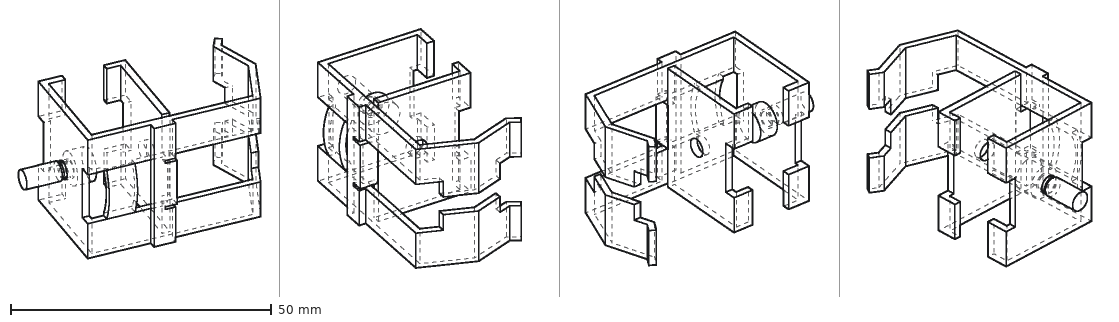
import cadquery as cq
import math

height = 27.0
sheet = 1.47
half_width = 11.55
wall_inner = half_width - sheet
window_half = 5.55
notch_floor = 9.1
over = 0.5

peak_y = 40.65
wall_end_y = 36.5
dip_x = 8.95
tip_angle = 30.0
tip_length = 2.2
arm_gap_half = 2.0
arm_step_left = 6.15
arm_step_right = 6.5

front_lip_y = 5.0
front_lip_sheet = 1.6
head_radius = 3.5
head_height = 4.05
shank_radius = 2.0
neck_radius = 1.5
clearance_radius = 1.9
neck_length = 0.45
shank_start = 1.05
shank_end = 8.5

divider_left = 11.65
divider_back = 18.4
divider_front = 16.75
divider_lip_sheet = 1.45
divider_lip_y = 13.85
tongue_half = 4.95
tongue_back = 18.2
anchor_front = 13.3
anchor_back = 17.85
anchor_relief_y = 15.75

strap_front = 4.05
strap_back = 10.0
strap_rise = 1.2


def block(x0, x1, y0, y1, half_z):
    """Box between X and Y limits, centred on Z = 0."""
    return cq.Workplane("XY").box(x1 - x0, y1 - y0, 2 * half_z).translate(
        ((x0 + x1) / 2, (y0 + y1) / 2, 0)
    )


def plate(points):
    """Full-height extrusion of a closed XY outline."""
    return cq.Workplane("XY").polyline(points).close().extrude(height / 2, both=True)


def cylinder(radius, y0, y1):
    """Round tool on the screw axis from y0 to y1."""
    return cq.Workplane("XZ", origin=(0, y0, 0)).circle(radius).extrude(y0 - y1)


def make_clamp():
    slope = (peak_y - wall_end_y) / half_width
    roof_angle = math.atan(slope)
    inner_peak_y = peak_y - sheet / math.cos(roof_angle)
    tip = math.radians(tip_angle)
    bisector = (tip - roof_angle) / 2
    bend_half = (tip + roof_angle) / 2
    miter = sheet / math.cos(bend_half)
    dip_outer = (-dip_x, peak_y - slope * dip_x)
    dip_inner = (dip_outer[0] - miter * math.sin(bisector), dip_outer[1] - miter * math.cos(bisector))
    tip_outer = (
        dip_outer[0] - tip_length * math.cos(tip),
        dip_outer[1] + tip_length * math.sin(tip),
    )
    tip_inner = (tip_outer[0] - sheet * math.sin(tip), tip_outer[1] - sheet * math.cos(tip))
    lip_inner = -half_width + front_lip_sheet
    body = plate([
        (-half_width, 0),
        (half_width, 0),
        (half_width, wall_end_y),
        (0, peak_y),
        dip_outer,
        tip_outer,
        tip_inner,
        dip_inner,
        (0, inner_peak_y),
        (wall_inner, inner_peak_y - slope * wall_inner),
        (wall_inner, sheet),
        (lip_inner, sheet),
        (lip_inner, front_lip_y),
        (-half_width, front_lip_y),
    ])
    body = body.cut(cylinder(clearance_radius, -over, sheet + over))
    far_x = half_width + over
    far_y = peak_y + over
    divider_y = (divider_front + divider_back) / 2
    body = body.cut(block(notch_floor, far_x, -over, far_y, window_half))
    body = body.cut(block(-far_x, -notch_floor, -over, front_lip_y + over, window_half))
    body = body.cut(block(-far_x, far_x, divider_y, far_y, arm_gap_half))
    for x0, x1 in ((-far_x, -arm_step_left), (arm_step_right, far_x)):
        body = body.cut(block(x0, x1, divider_y, far_y, window_half))
    return body


def make_divider():
    lip_inner = -divider_left + divider_lip_sheet
    body = plate([
        (-divider_left, divider_back),
        (-divider_left, divider_lip_y),
        (lip_inner, divider_lip_y),
        (lip_inner, divider_front),
        (notch_floor, divider_front),
        (notch_floor, divider_back),
    ])
    notch_x = -divider_left - over
    body = body.cut(block(notch_x, -notch_floor, divider_lip_y - over, divider_back + over, window_half))
    body = body.cut(cylinder(clearance_radius, divider_front - over, divider_back + over))

    anchor_x = half_width + sheet
    anchor = block(half_width, anchor_x, anchor_front, anchor_back, height / 2)
    anchor = anchor.cut(block(half_width, anchor_x, anchor_relief_y, anchor_back, window_half))
    fold = block(half_width, anchor_x, anchor_front, tongue_back, tongue_half)
    tongue = block(notch_floor, anchor_x, divider_front, tongue_back, tongue_half)
    return body.union(anchor).union(fold).union(tongue)


def make_strap():
    return (
        cq.Workplane("XZ", origin=(0, strap_back, 0))
        .moveTo(half_width, -window_half)
        .threePointArc((half_width + strap_rise, 0), (half_width, window_half))
        .lineTo(wall_inner, window_half)
        .lineTo(wall_inner, tongue_half)
        .threePointArc((wall_inner + strap_rise, 0), (wall_inner, -tongue_half))
        .lineTo(wall_inner, -window_half)
        .close()
        .extrude(strap_back - strap_front)
    )


def make_screw():
    profile = [
        (0, sheet + head_height),
        (head_radius, sheet + head_height),
        (head_radius, sheet),
        (neck_radius, sheet),
        (neck_radius, -neck_length),
        (shank_radius, -shank_start),
        (shank_radius, -shank_end),
        (0, -shank_end),
    ]
    return cq.Workplane("XY").polyline(profile).close().revolve(360, (0, 0), (0, 1))


result = make_clamp().union(make_divider()).union(make_strap()).union(make_screw())